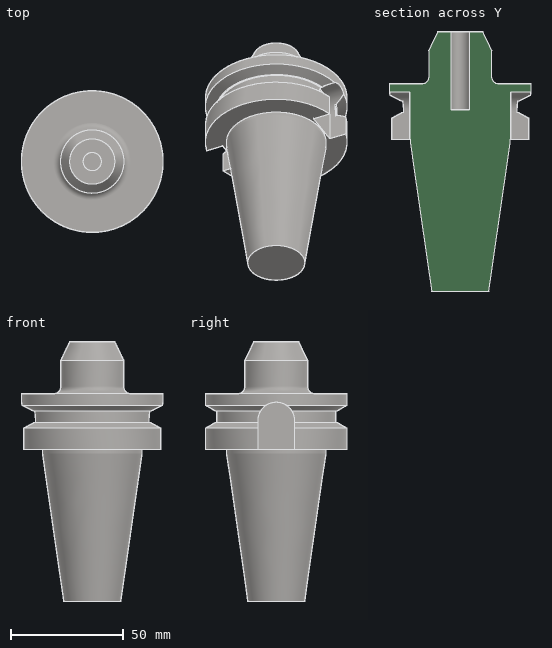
import cadquery as cq

total_height = 115.4
taper_height = 65.5
flange_bottom = 67.4
lower_rim_top = 77.0
groove_bottom = 79.5
groove_top = 84.6
upper_rim_bottom = 87.1
flange_top = 92.3
nose_cone_bottom = 107.0

taper_small_radius = 12.7
taper_large_radius = 22.2
flange_radius = 31.5
groove_radius = 26.5
groove_cone_radius = 27.1
nose_radius = 14.1
nose_tip_radius = 10.0
nose_fillet = 3.0

bore_radius = 4.0
bore_depth = 34.6

slot_width = 16.3
slot_floor = 22.5
slot_top = 88.5


def turned_body():
    """Taper, grooved flange and nose, revolved about Z."""
    fillet_x = nose_radius + nose_fillet
    fillet_z = flange_top + nose_fillet
    diagonal = nose_fillet * 0.5**0.5
    profile = (
        cq.Workplane("XZ")
        .moveTo(0, 0)
        .lineTo(taper_small_radius, 0)
        .lineTo(taper_large_radius, taper_height)
        .lineTo(taper_large_radius, flange_bottom)
        .lineTo(flange_radius, flange_bottom)
        .lineTo(flange_radius, lower_rim_top)
        .lineTo(groove_cone_radius, groove_bottom)
        .lineTo(groove_radius, groove_bottom)
        .lineTo(groove_radius, groove_top)
        .lineTo(groove_cone_radius, groove_top)
        .lineTo(flange_radius, upper_rim_bottom)
        .lineTo(flange_radius, flange_top)
        .lineTo(fillet_x, flange_top)
        .threePointArc((fillet_x - diagonal, fillet_z - diagonal), (nose_radius, fillet_z))
        .lineTo(nose_radius, nose_cone_bottom)
        .lineTo(nose_tip_radius, total_height)
        .lineTo(0, total_height)
        .close()
    )
    return profile.revolve(360, (0, 0, 0), (0, 1, 0))


def drive_slot():
    """Round-topped slot on the +X side, open at the flange bottom."""
    half_width = slot_width / 2
    arc_start = slot_top - half_width
    return (
        cq.Workplane("YZ", origin=(slot_floor, 0, 0))
        .moveTo(-half_width, flange_bottom)
        .lineTo(half_width, flange_bottom)
        .lineTo(half_width, arc_start)
        .threePointArc((0, slot_top), (-half_width, arc_start))
        .close()
        .extrude(flange_radius)
    )


def tool_bore():
    """Blind bore from the nose tip."""
    return cq.Workplane("XY", origin=(0, 0, total_height)).circle(bore_radius).extrude(-bore_depth)


result = turned_body().cut(tool_bore())
for angle in (0, 180):
    result = result.cut(drive_slot().rotate((0, 0, 0), (0, 0, 1), angle))